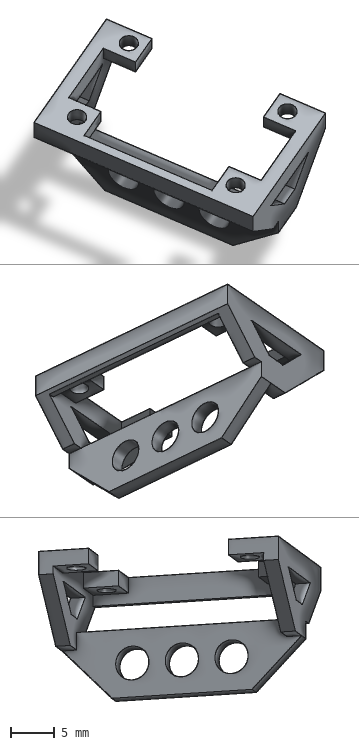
import cadquery as cq

width = 29.0
depth = 17.5
height = 15.8

side_thickness = 1.77
flank_start = 2.78
bracket_height = 9.8
window_front = 4.35
window_back = 13.35
window_bottom = 6.03

rail_depth = 1.1
rail_height = 3.15

lug_reach = 6.03
lug_thickness = 1.85
front_lug_depth = 5.15
back_lug_depth = 3.97
screw_diameter = 2.2
screw_spacing_x = 21.0
screw_spacing_y = 12.5
front_screw_y = 3.1

plate_front = 6.12
plate_thickness = 1.77
plate_top = 7.7
plate_hole_diameter = 4.0
plate_hole_spacing = 6.0
plate_hole_count = 3


def box(x_min, x_max, y_min, y_max, z_min, z_max):
    """Block spanning the given limits."""
    block = cq.Workplane("XY").box(x_max - x_min, y_max - y_min, z_max - z_min, centered=False)
    return block.translate((x_min, y_min, z_min))


def bracket_profile():
    """Full-width prism with the outline of the side brackets, without the window."""
    flank_run = bracket_height - flank_start
    step_y = plate_top - flank_start
    outline = [
        (0, 0),
        (depth, 0),
        (depth, -flank_start),
        (depth - flank_run, -bracket_height),
        (plate_front, -bracket_height),
        (plate_front, -plate_top),
        (step_y, -plate_top),
        (0, -flank_start),
    ]
    return cq.Workplane("YZ", origin=(-width / 2, 0, 0)).polyline(outline).close().extrude(width)


def window_cutter():
    """45 degree trapezoid passing through both brackets below the top band."""
    taper = window_bottom - flank_start
    outline = [
        (window_front, -flank_start),
        (window_back, -flank_start),
        (window_back - taper, -window_bottom),
        (window_front + taper, -window_bottom),
    ]
    return cq.Workplane("YZ", origin=(-width / 2, 0, 0)).polyline(outline).close().extrude(width)


def frame():
    """Two windowed brackets and the front rail, left after hollowing the prism."""
    inner_x = width / 2 - side_thickness
    space_behind_rail = box(-inner_x, inner_x, rail_depth, depth, -height, 0)
    space_below_rail = box(-inner_x, inner_x, 0, depth, -height, -rail_height)
    return bracket_profile().cut(space_behind_rail).cut(space_below_rail).cut(window_cutter())


def lugs():
    """Four corner lugs, flush with the top."""
    outer_x = width / 2
    inner_x = outer_x - lug_reach
    blocks = cq.Workplane("XY")
    for y_min, y_max in ((0, front_lug_depth), (depth - back_lug_depth, depth)):
        for x_min, x_max in ((-outer_x, -inner_x), (inner_x, outer_x)):
            blocks = blocks.add(box(x_min, x_max, y_min, y_max, -lug_thickness, 0))
    return blocks.combine()


def screw_holes():
    """Vertical cylinders for the lug holes."""
    center_y = front_screw_y + screw_spacing_y / 2
    return (
        cq.Workplane("XY", origin=(0, center_y, 0))
        .rarray(screw_spacing_x, screw_spacing_y, 2, 2)
        .circle(screw_diameter / 2)
        .extrude(-rail_height)
    )


def plate():
    """Upright plate with 45 degree lower corners and a row of holes at mid-height."""
    half_width = width / 2
    half_bottom = half_width - (height - bracket_height)
    hole_z = -(plate_top + height) / 2
    outline = [
        (-half_width, -plate_top),
        (half_width, -plate_top),
        (half_width, -bracket_height),
        (half_bottom, -height),
        (-half_bottom, -height),
        (-half_width, -bracket_height),
    ]
    front_plane = cq.Workplane("XZ", origin=(0, plate_front, 0))
    body = front_plane.polyline(outline).close().extrude(-plate_thickness)
    holes = (
        front_plane.center(0, hole_z)
        .rarray(plate_hole_spacing, 0.3, plate_hole_count, 1)
        .circle(plate_hole_diameter / 2)
        .extrude(-plate_thickness)
    )
    return body.cut(holes)


result = frame().union(lugs()).cut(screw_holes()).union(plate())